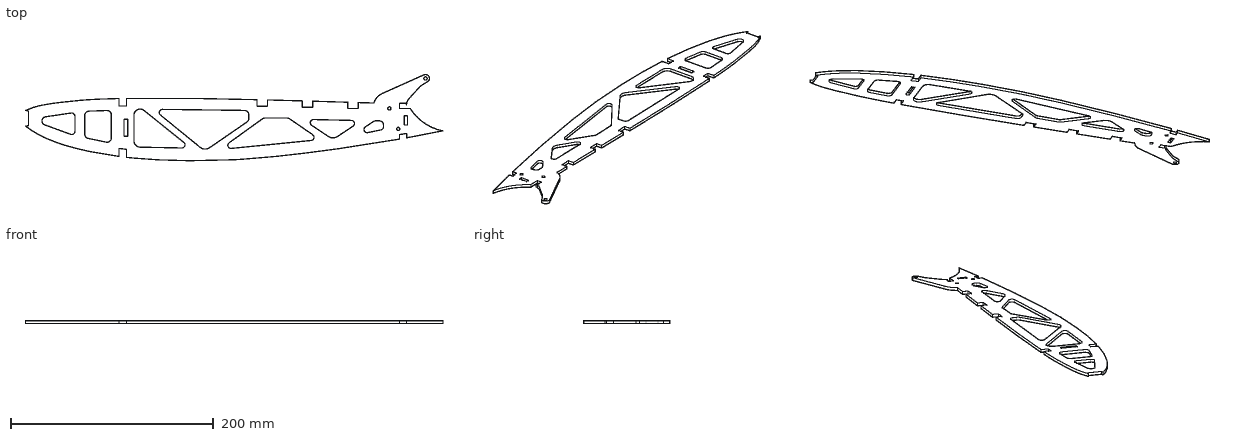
import math

import cadquery as cq

LENGTH = 411.85
THICKNESS = 3.0

NOSE_TOP = (0.0, 49.6)
NOSE_BOTTOM = (0.0, 34.2)
NOSE_FACE_X = 2.9
NOSE_LIP = 0.6
TAIL_TIP = (LENGTH, 29.5)
TOP_EDGE = [
    (11.8, 53.9), (33.7, 57.6), (60.0, 60.2), (95.0, 61.6),
    (178.0, 61.4), (273.0, 59.2), (343.5, 57.1),
]
BOTTOM_EDGE = [
    (369.0, 21.3), (276.0, 7.5), (212.4, 1.3), (160.0, 0.0),
    (107.4, 2.5), (49.3, 12.3), (18.0, 23.2), NOSE_BOTTOM,
]

ARM_EYE = (394.5, 81.2)
ARM_EYE_RADIUS = 4.0
ARM_SHOULDER_MIDDLE = (347.6, 63.6)
ARM_SHOULDER_TOP = (353.5, 67.2)
ARM_UPPER_ANGLE = 114.0
ARM_LOWER_ANGLE = -40.0
ARM_LOWER_NECK = (389.5, 73.5)
ARM_ELBOW = (378.5, 61.5)
ARM_HEEL_MIDDLE = (376.6, 58.6)
ARM_HEEL = (375.8, 55.2)
ARM_HEEL_TOE = 1.0

SLIT_X = 368.9
SLIT_TOP = 56.6
SLIT_BOTTOM = 51.6
FIN_START_X = 379.5
FIN_CURVE_MIDDLE = (391.5, 38.6)

FRONT_NOTCH_LEFT = 92.3
FRONT_NOTCH_WIDTH = 7.3
FRONT_NOTCH_TOP_FLOOR = (54.1, 54.1)
FRONT_NOTCH_BOTTOM_FLOOR = (12.1, 11.2)
TOP_NOTCH_WIDTH = 10.0
TOP_NOTCHES = [(228.5, 54.0), (273.2, 52.9), (318.0, 51.7)]
TAIL_NOTCH_WIDTH = 7.0
TAIL_NOTCH_FLOOR = (25.7, 26.9)
NOTCH_OVERRUN = 15.0

SLOTS = [(97.3, 24.3, 3.4, 16.5), (373.6, 35.4, 3.0, 9.0)]

PIN_HOLE_DIAMETER = 3.0
PIN_HOLES = [ARM_EYE, (358.9, 51.6), (367.6, 31.4)]

TIGHT = 3.0
MEDIUM = 4.0
WIDE = 6.0
BROAD = 8.0
WINDOWS = [
    [(4.2, 41.0, MEDIUM), (48.7, 24.7, TIGHT), (48.7, 47.5, TIGHT)],
    [(58.6, 22.9, MEDIUM), (84.6, 17.5, MEDIUM), (84.6, 49.6, MEDIUM), (58.6, 48.7, MEDIUM)],
    [(107.1, 13.7, WIDE), (163.0, 12.6, TIGHT), (107.1, 57.4, WIDE)],
    [(176.8, 9.7, BROAD), (220.1, 39.5, MEDIUM), (220.1, 49.5, MEDIUM), (126.5, 50.7, TIGHT)],
    [(191.9, 11.2, TIGHT), (290.0, 21.0, TIGHT), (259.5, 42.0, MEDIUM), (234.7, 42.0, MEDIUM)],
    [(303.2, 21.1, BROAD), (331.0, 39.5, TIGHT), (273.8, 40.8, TIGHT)],
    [(322.5, 24.8, TIGHT), (353.0, 31.1, TIGHT), (353.0, 39.3, MEDIUM), (344.2, 39.3, MEDIUM)],
]


def point_on_circle(center, radius, degrees):
    angle = math.radians(degrees)
    return (center[0] + radius * math.cos(angle), center[1] + radius * math.sin(angle))


def unit_vector(start, end):
    distance = math.dist(start, end)
    return ((end[0] - start[0]) / distance, (end[1] - start[1]) / distance)


def corner_arc(before, corner, after):
    """Start, middle and end of the arc that rounds a corner."""
    point, radius = corner[:2], corner[2]
    back = unit_vector(point, before[:2])
    ahead = unit_vector(point, after[:2])
    half_angle = math.acos(back[0] * ahead[0] + back[1] * ahead[1]) / 2
    setback = radius / math.tan(half_angle)
    apex_gap = radius / math.sin(half_angle) - radius
    bisector = unit_vector((0, 0), (back[0] + ahead[0], back[1] + ahead[1]))
    return (
        (point[0] + setback * back[0], point[1] + setback * back[1]),
        (point[0] + apex_gap * bisector[0], point[1] + apex_gap * bisector[1]),
        (point[0] + setback * ahead[0], point[1] + setback * ahead[1]),
    )


def window(corners):
    """Cutter for a polygon with rounded corners."""
    count = len(corners)
    arcs = [corner_arc(corners[i - 1], corners[i], corners[(i + 1) % count]) for i in range(count)]
    outline = cq.Workplane("XY").moveTo(*arcs[0][0]).threePointArc(*arcs[0][1:])
    for start, middle, end in arcs[1:]:
        outline = outline.lineTo(*start).threePointArc(middle, end)
    return outline.close().extrude(THICKNESS)


def notch(left, width, floor_left, floor_right, depth):
    """Cutter reaching from a notch floor past the edge; a negative depth opens downwards."""
    right = left + width
    corners = [
        (left, floor_left),
        (right, floor_right),
        (right, floor_right + depth),
        (left, floor_left + depth),
    ]
    return cq.Workplane("XY").polyline(corners).close().extrude(THICKNESS)


def plate():
    eye_top = point_on_circle(ARM_EYE, ARM_EYE_RADIUS, ARM_UPPER_ANGLE)
    eye_bottom = point_on_circle(ARM_EYE, ARM_EYE_RADIUS, ARM_LOWER_ANGLE)
    eye_middle = point_on_circle(ARM_EYE, ARM_EYE_RADIUS, (ARM_UPPER_ANGLE + ARM_LOWER_ANGLE) / 2)
    outline = cq.Workplane("XY").moveTo(*NOSE_TOP).spline(TOP_EDGE, includeCurrent=True)
    outline = outline.threePointArc(ARM_SHOULDER_MIDDLE, ARM_SHOULDER_TOP).lineTo(*eye_top)
    outline = outline.threePointArc(eye_middle, eye_bottom).lineTo(*ARM_LOWER_NECK).lineTo(*ARM_ELBOW)
    outline = outline.threePointArc(ARM_HEEL_MIDDLE, ARM_HEEL)
    outline = outline.lineTo(ARM_HEEL[0] - ARM_HEEL_TOE, SLIT_TOP).lineTo(SLIT_X, SLIT_TOP)
    outline = outline.lineTo(SLIT_X, SLIT_BOTTOM).lineTo(FIN_START_X, SLIT_BOTTOM)
    outline = outline.threePointArc(FIN_CURVE_MIDDLE, TAIL_TIP)
    outline = outline.spline(BOTTOM_EDGE, includeCurrent=True)
    outline = outline.lineTo(NOSE_FACE_X, NOSE_BOTTOM[1] + NOSE_LIP)
    outline = outline.lineTo(NOSE_FACE_X, NOSE_TOP[1] - NOSE_LIP)
    return outline.close().extrude(THICKNESS)


def cut_notches(body):
    body = body.cut(notch(FRONT_NOTCH_LEFT, FRONT_NOTCH_WIDTH, *FRONT_NOTCH_TOP_FLOOR, NOTCH_OVERRUN))
    body = body.cut(notch(FRONT_NOTCH_LEFT, FRONT_NOTCH_WIDTH, *FRONT_NOTCH_BOTTOM_FLOOR, -NOTCH_OVERRUN))
    for left, floor in TOP_NOTCHES:
        body = body.cut(notch(left, TOP_NOTCH_WIDTH, floor, floor, NOTCH_OVERRUN))
    return body.cut(notch(SLIT_X, TAIL_NOTCH_WIDTH, *TAIL_NOTCH_FLOOR, -NOTCH_OVERRUN))


def cut_openings(body):
    for corners in WINDOWS:
        body = body.cut(window(corners))
    for left, bottom, width, height in SLOTS:
        slot = cq.Workplane("XY").box(width, height, THICKNESS, centered=False)
        body = body.cut(slot.translate((left, bottom, 0)))
    pins = cq.Workplane("XY").pushPoints(PIN_HOLES).circle(PIN_HOLE_DIAMETER / 2).extrude(THICKNESS)
    return body.cut(pins)


result = cut_openings(cut_notches(plate()))